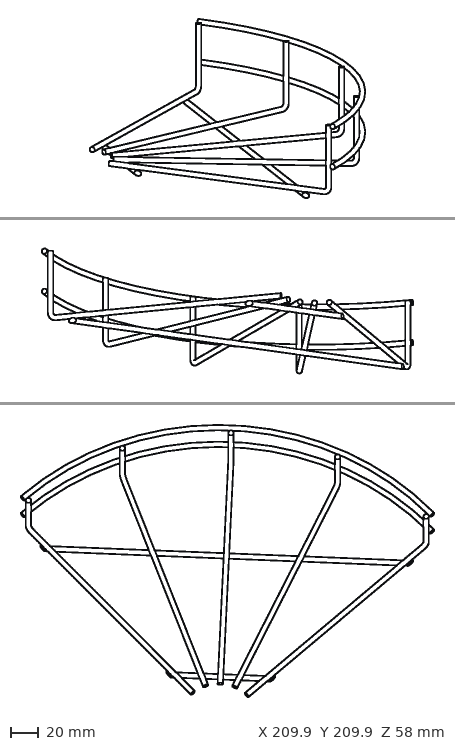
import cadquery as cq
import math

outer_size = 209.9
height = 58.0
wire_diameter = 4.0
rail_spacing = 30.0
rib_inner_radius = 27.3
rib_count = 5
quarter_turn = 90.0
tie_intercepts = {"inner": 52.7, "outer": 186.5}

wire_radius = wire_diameter / 2
axis_offset = wire_radius
rail_radius = outer_size - wire_radius - axis_offset
rib_outer_radius = rail_radius - wire_diameter
bend_radius = wire_diameter
tie_z = wire_radius
rib_z = tie_z + wire_diameter
top_rail_z = height - wire_radius
rail_heights = [top_rail_z, top_rail_z - rail_spacing]
rib_top_z = top_rail_z


def make_rib(angle):
    """L-shaped wire: a radial floor run, a rounded bend and an upright."""
    bend_start = rib_outer_radius - bend_radius
    bend_end_z = rib_z + bend_radius
    diagonal = bend_radius * math.sqrt(0.5)
    bend_middle = (bend_start + diagonal, bend_end_z - diagonal)
    path = (
        cq.Workplane("XZ")
        .moveTo(rib_inner_radius, rib_z)
        .lineTo(bend_start, rib_z)
        .threePointArc(bend_middle, (rib_outer_radius, bend_end_z))
        .lineTo(rib_outer_radius, rib_top_z)
    )
    rib = (
        cq.Workplane("YZ", origin=(rib_inner_radius, 0, rib_z))
        .circle(wire_radius)
        .sweep(path)
    )
    return rib.rotate((0, 0, 0), (0, 0, 1), angle).translate((axis_offset, axis_offset, 0))


def make_rail(z):
    """Quarter-circle wire with a short straight tail at each end."""
    end = axis_offset + rail_radius
    middle = axis_offset + rail_radius * math.sqrt(0.5)
    path = (
        cq.Workplane("XY", origin=(0, 0, z))
        .moveTo(end, 0)
        .lineTo(end, axis_offset)
        .threePointArc((middle, middle), (axis_offset, end))
        .lineTo(0, end)
    )
    return cq.Workplane("XZ", origin=(end, 0, z)).circle(wire_radius).sweep(path)


def make_tie(intercept):
    """Straight diagonal wire under the ribs, mitred flush with x = 0 and y = 0."""
    overrun = wire_diameter
    direction = cq.Vector(-1, 1, 0).normalized()
    start = cq.Vector(intercept, 0, tie_z) - direction * overrun
    length = intercept * math.sqrt(2) + 2 * overrun
    bar = cq.Workplane(obj=cq.Solid.makeCylinder(wire_radius, length, start, direction))
    first_quadrant = cq.Workplane("XY").box(outer_size, outer_size, height, centered=False)
    return bar.intersect(first_quadrant).solids()


angle_step = quarter_turn / (rib_count - 1)
ribs = [make_rib(index * angle_step) for index in range(rib_count)]
rails = [make_rail(z) for z in rail_heights]
ties = [make_tie(intercept) for intercept in tie_intercepts.values()]

result = cq.Compound.makeCompound([body.val() for body in ribs + rails + ties])